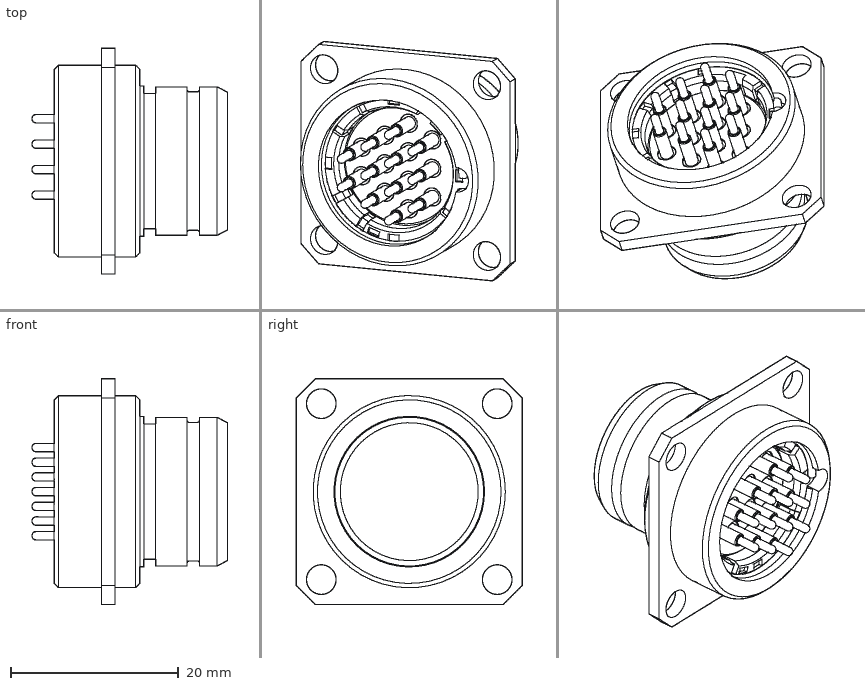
import cadquery as cq
import math


FLANGE_SIDE = 27.0
FLANGE_FRONT = 5.62
FLANGE_THICKNESS = 1.65
FLANGE_CORNER = 2.3
HOLE_DIAMETER = 3.5
HOLE_SPACING = 21.0

HOUSING_RADIUS = 11.48
HOUSING_END = 10.23
HOUSING_CHAMFER = 0.5
COLLAR_RADIUS = 9.0
COLLAR_END = 10.7
NECK_RADIUS = 8.1
NECK_END = 12.12
BARREL_RADIUS = 8.88
BARREL_END = 20.7
NOSE_LENGTH = 1.25
NOSE_RADIUS = 8.24
GROOVE_START = 15.88
GROOVE_END = 17.33
GROOVE_RADIUS = 8.3
GROOVE_FILLET = 0.25

MOUTH_RADIUS = 8.95
LEDGE_X = 1.84
LEDGE_INNER_RADIUS = 7.72
LEAD_IN_DEPTH = 0.8
WELL_RADIUS = 7.4
FLOOR_X = 4.13
INSERT_CHAMFER = 0.25

WIRE_RADIUS = 0.49
WIRE_X = 1.38
WIRE_INNER_RADIUS = 8.67
POCKET_RADIUS = 1.48

CUT_INNER_RADIUS = 6.75
SLOT_ANGLES = (35, 120, 150, 210, 240, 325)
SLOT_WIDTH = 0.97
SLOT_OUTER_RADIUS = 8.8
SLOT_DEPTH = 0.68
KEY_ANGLE = 60
KEY_WIDTH = 2.05
KEY_OUTER_RADIUS = 8.42
RECESS_ANGLES = (0, 90, 180, 270)
RECESS_WIDTH = 1.45
RECESS_INNER_RADIUS = 8.0
RECESS_DEPTH = 0.45
CODING_ANGLE = 252
CODING_OUTER_RADIUS = 8.7

PIN_PITCH = 3.5
PIN_RADIUS = 0.5
PIN_TIP_X = -2.67
PIN_BODY_RADIUS = 0.78
PIN_BODY_X = 0.2
PIN_BODY_CHAMFER = 0.1
PIN_SEAT_RADIUS = 1.1
PIN_SEAT_DEPTH = 0.22
PIN_ROOT = 0.43

OVERLAP = 0.14


def cylinder(radius, start, end, y=0.0, z=0.0):
    """Cylinder along X from start to end."""
    return cq.Workplane("YZ", origin=(start, y, z)).circle(radius).extrude(end - start)


def radial_block(angle, width, start, end, inner, outer):
    """Block between two distances from the axis, turned about X to the given angle."""
    size = (end - start, outer - inner, width)
    center = ((start + end) / 2, -(inner + outer) / 2, 0)
    return cq.Workplane("XY").box(*size).translate(center).rotate((0, 0, 0), (1, 0, 0), -angle)


def make_shell():
    """Turned outside of the shell, solid through the middle."""
    outline = [
        (0, 0),
        (0, HOUSING_RADIUS - HOUSING_CHAMFER),
        (HOUSING_CHAMFER, HOUSING_RADIUS),
        (HOUSING_END - HOUSING_CHAMFER, HOUSING_RADIUS),
        (HOUSING_END, HOUSING_RADIUS - HOUSING_CHAMFER),
        (HOUSING_END, COLLAR_RADIUS),
        (COLLAR_END, COLLAR_RADIUS),
        (COLLAR_END, NECK_RADIUS),
        (NECK_END, NECK_RADIUS),
        (NECK_END, BARREL_RADIUS),
        (BARREL_END - NOSE_LENGTH, BARREL_RADIUS),
        (BARREL_END, NOSE_RADIUS),
        (BARREL_END, 0),
    ]
    return cq.Workplane("XY").polyline(outline).close().revolve(360, (0, 0, 0), (1, 0, 0))


def make_groove():
    """Ring cutter for the barrel groove, with rounded bottom corners."""
    ring = cylinder(BARREL_RADIUS + OVERLAP, GROOVE_START, GROOVE_END)
    core = cylinder(GROOVE_RADIUS, GROOVE_START, GROOVE_END)
    inner_edges = cq.selectors.RadiusNthSelector(0)
    return ring.cut(core).edges("%CIRCLE").edges(inner_edges).fillet(GROOVE_FILLET)


def make_flange():
    """Square flange with cut corners and four mounting holes."""
    plate = (
        cq.Workplane("YZ", origin=(FLANGE_FRONT, 0, 0))
        .rect(FLANGE_SIDE, FLANGE_SIDE)
        .extrude(FLANGE_THICKNESS)
        .edges("|X")
        .chamfer(FLANGE_CORNER)
    )
    hole_centers = plate.faces("<X").workplane().rect(HOLE_SPACING, HOLE_SPACING, forConstruction=True)
    return hole_centers.vertices().hole(HOLE_DIAMETER)


def make_cavity():
    """Mouth, tapered lead-in and well, ending in a bevelled rim around the insert floor."""
    outline = [
        (0, 0),
        (0, MOUTH_RADIUS),
        (LEDGE_X, MOUTH_RADIUS),
        (LEDGE_X, LEDGE_INNER_RADIUS),
        (LEDGE_X + LEAD_IN_DEPTH, WELL_RADIUS),
        (FLOOR_X + INSERT_CHAMFER, WELL_RADIUS),
        (FLOOR_X, WELL_RADIUS - INSERT_CHAMFER),
        (FLOOR_X, 0),
    ]
    return cq.Workplane("XY").polyline(outline).close().revolve(360, (0, 0, 0), (1, 0, 0))


def cut_slots(body):
    """Narrow slots: shallow across the ledge, full depth through the lead-in taper."""
    steps = ((LEDGE_X + SLOT_DEPTH, SLOT_OUTER_RADIUS), (FLOOR_X, LEDGE_INNER_RADIUS))
    for angle in SLOT_ANGLES:
        for end, outer in steps:
            body = body.cut(radial_block(angle, SLOT_WIDTH, LEDGE_X, end, CUT_INNER_RADIUS, outer))
    return body


def cut_keyway(body):
    """Wide keyway, with the insert key filling it level with the floor."""
    keyway = radial_block(KEY_ANGLE, KEY_WIDTH, LEDGE_X, FLOOR_X, CUT_INNER_RADIUS, KEY_OUTER_RADIUS)
    key_end = FLOOR_X + INSERT_CHAMFER + OVERLAP
    key = radial_block(KEY_ANGLE, KEY_WIDTH, FLOOR_X, key_end, CUT_INNER_RADIUS, KEY_OUTER_RADIUS)
    return body.cut(keyway).union(key)


def cut_recesses(body):
    """Four shallow recesses against the mouth wall and one coding recess inside the ledge."""
    end = LEDGE_X + RECESS_DEPTH
    recesses = [(angle, MOUTH_RADIUS) for angle in RECESS_ANGLES]
    recesses.append((CODING_ANGLE, CODING_OUTER_RADIUS))
    for angle, outer in recesses:
        body = body.cut(radial_block(angle, RECESS_WIDTH, LEDGE_X, end, RECESS_INNER_RADIUS, outer))
    return body


def make_wire_ring():
    """Round wire ring, open just below the horizontal plane on the -Y side."""
    ring_radius = WIRE_INNER_RADIUS + WIRE_RADIUS
    ring = (
        cq.Workplane("XY")
        .center(WIRE_X, ring_radius)
        .circle(WIRE_RADIUS)
        .revolve(360, (0, -ring_radius, 0), (1, -ring_radius, 0))
    )
    gap = cq.Workplane("XY").box(4 * WIRE_RADIUS, 4 * WIRE_RADIUS, POCKET_RADIUS)
    return ring.cut(gap.translate((WIRE_X, -ring_radius, -POCKET_RADIUS / 2)))


def pin_positions():
    """Hexagonal grid centered on the middle of a triangle of three pins."""
    column_pitch = PIN_PITCH * math.sqrt(3) / 2
    first_column = -4 / 3 * column_pitch
    column_counts = (3, 4, 3, 2)
    positions = []
    for column, count in enumerate(column_counts):
        y = first_column + column * column_pitch
        for row in range(count):
            positions.append((y, (row - (count - 1) / 2) * PIN_PITCH))
    return positions


def make_pin(y, z):
    """Stepped contact pin with a domed tip and a bevelled shoulder."""
    dome_x = PIN_TIP_X + PIN_RADIUS
    end = FLOOR_X + PIN_ROOT
    dome = cq.Workplane("XY").sphere(PIN_RADIUS).translate((dome_x, y, z))
    tail = cylinder(PIN_RADIUS, dome_x, end, y, z)
    shank = cylinder(PIN_BODY_RADIUS, PIN_BODY_X, end, y, z).faces("<X").chamfer(PIN_BODY_CHAMFER)
    return dome.union(tail).union(shank)


result = make_shell().cut(make_groove()).union(make_flange()).cut(make_cavity())
result = cut_slots(result)
result = cut_keyway(result)
result = cut_recesses(result)
result = result.cut(cylinder(POCKET_RADIUS, 0, LEDGE_X, -MOUTH_RADIUS))
result = result.union(make_wire_ring())
for pin_y, pin_z in pin_positions():
    seat = cylinder(PIN_SEAT_RADIUS, FLOOR_X, FLOOR_X + PIN_SEAT_DEPTH, pin_y, pin_z)
    result = result.cut(seat).union(make_pin(pin_y, pin_z))